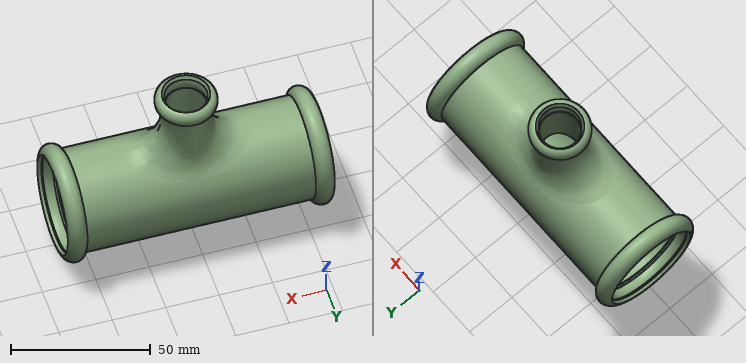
import cadquery as cq

run_length = 100.0
run_outer_radius = 38.4 / 2
run_mouth_radius = 37.0 / 2
run_lip_radius = 35.8 / 2
run_seal_radius = 34.7 / 2
run_seat_radius = 35.4 / 2
run_bore_radius = 33.4 / 2
run_bead_radius = 43.7 / 2
run_bead_width = 7.4

branch_top = 65.8 - run_bead_radius
branch_outer_radius = 18.3 / 2
branch_mouth_radius = 17.4 / 2
branch_lip_radius = 15.7 / 2
branch_seal_radius = 15.0 / 2
branch_seat_radius = 15.3 / 2
branch_bore_radius = 14.9 / 2
branch_bead_radius = 22.8 / 2
branch_bead_width = 6.5

flare_length = 1.3
seal_margin = 1.8
seat_length = 0.8

saddle_radius = 14.6
neck_base_half_width = 12.0
neck_clearance = 0.2


def socket_end(mouth_radius, bead_radius, width):
    """Solid socket with a rounded outer bead; its mouth is at z = 0."""
    return (
        cq.Workplane("XZ")
        .lineTo(mouth_radius, 0)
        .threePointArc((bead_radius, -width / 2), (mouth_radius, -width))
        .lineTo(0, -width)
        .close()
        .revolve(360, (0, 0, 0), (0, 1, 0))
    )


def socket_cavity(mouth_radius, lip_radius, seal_radius, seat_radius, width):
    """Flared mouth, plain lip, inward-bulging seal ring and short seat below z = 0."""
    seal_end = width - seal_margin
    return (
        cq.Workplane("XZ")
        .lineTo(mouth_radius, 0)
        .lineTo(lip_radius, -flare_length)
        .lineTo(lip_radius, -seal_margin)
        .threePointArc((seal_radius, -width / 2), (seat_radius, -seal_end))
        .lineTo(seat_radius, -seal_end - seat_length)
        .lineTo(0, -seal_end - seat_length)
        .close()
        .revolve(360, (0, 0, 0), (0, 1, 0))
    )


def at_run_ends(shape):
    """Copies of a mouth-up shape placed on both ends of the run."""
    right = shape.rotate((0, 0, 0), (0, 1, 0), 90).translate((run_length / 2, 0, 0))
    return right.union(right.mirror("YZ"))


def blended_run():
    """Run tube with a neck that widens along Y as it descends, blended by a fillet."""
    barrel = cq.Workplane("YZ").circle(run_outer_radius).extrude((run_length - run_bead_width) / 2, both=True)
    neck_top = run_outer_radius + saddle_radius + neck_clearance
    neck = (
        cq.Workplane("XY")
        .ellipse(branch_outer_radius, neck_base_half_width)
        .workplane(offset=neck_top)
        .circle(branch_outer_radius)
        .loft(ruled=True)
    )
    joint_box = cq.selectors.BoxSelector(
        (-run_outer_radius, -run_outer_radius, 0),
        (run_outer_radius, run_outer_radius, run_outer_radius + neck_clearance),
        boundingbox=True,
    )
    blended = barrel.union(neck).edges(joint_box).fillet(saddle_radius)
    straight_height = branch_top - branch_bead_width / 2 - neck_top
    straight = cq.Workplane("XY", origin=(0, 0, neck_top)).circle(branch_outer_radius).extrude(straight_height)
    return blended.union(straight)


branch_end = socket_end(branch_mouth_radius, branch_bead_radius, branch_bead_width)
branch_end = branch_end.translate((0, 0, branch_top))
run_end = socket_end(run_mouth_radius, run_bead_radius, run_bead_width)
body = blended_run().union(branch_end).union(at_run_ends(run_end))

run_bore = cq.Workplane("YZ").circle(run_bore_radius).extrude(run_length / 2, both=True)
branch_bore = cq.Workplane("XY").circle(branch_bore_radius).extrude(branch_top)
run_cavity = socket_cavity(run_mouth_radius, run_lip_radius, run_seal_radius, run_seat_radius, run_bead_width)
branch_cavity = socket_cavity(
    branch_mouth_radius, branch_lip_radius, branch_seal_radius, branch_seat_radius, branch_bead_width
).translate((0, 0, branch_top))

result = body.cut(run_bore).cut(branch_bore).cut(at_run_ends(run_cavity)).cut(branch_cavity)